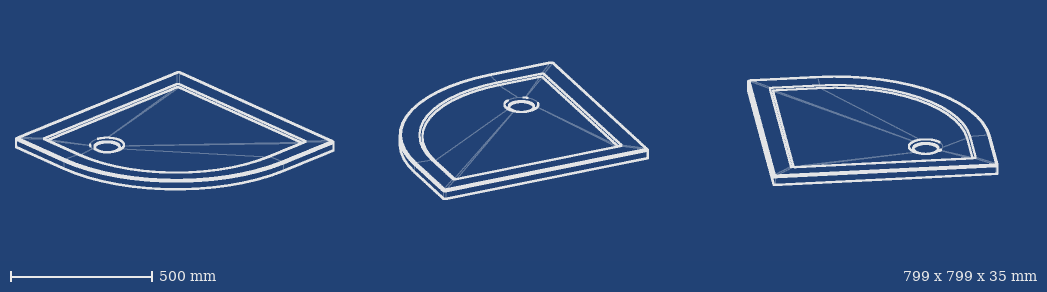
import cadquery as cq
import math

SIZE = 799.0
HEIGHT = 35.0
STRAIGHT = 249.0
CORNER_RADIUS = 6.0

EDGE_BEVEL = 5.0
RIM_WIDTH = 70.0
RIM_INNER_Z = 33.0
STEP_WIDTH = 10.0
BASIN_EDGE_INSET = RIM_WIDTH + STEP_WIDTH
BASIN_EDGE_Z = 27.0

DRAIN_CENTER = 230.0
DRAIN_TOP_RADIUS = 60.0
DRAIN_HOLE_RADIUS = 45.0
DRAIN_TOP_Z = 11.0
DRAIN_HOLE_Z = 4.0

DIAGONAL = 135.0
SIDE_CORNER_SPREAD = 96.5
ARC_END_SPREAD = 122.0
CORNER_SPREAD = 0.5

CUT_CLEARANCE = 8.0


def point_on_circle(center, radius, degrees):
    angle = math.radians(degrees)
    return center[0] + radius * math.cos(angle), center[1] + radius * math.sin(angle)


def tray_outline(inset, z):
    """Closed outline of the tray, moved inward by inset, at height z."""
    low = inset
    high = SIZE - inset
    r = CORNER_RADIUS
    large_radius = SIZE - STRAIGHT - inset
    large_center = (STRAIGHT, SIZE - STRAIGHT)
    return (
        cq.Workplane("XY", origin=(0, 0, z))
        .moveTo(low + r, high)
        .lineTo(high - r, high)
        .threePointArc(point_on_circle((high - r, high - r), r, 45), (high, high - r))
        .lineTo(high, large_center[1])
        .threePointArc(point_on_circle(large_center, large_radius, -45), (STRAIGHT, low))
        .lineTo(low + r, low)
        .threePointArc(point_on_circle((low + r, low + r), r, 225), (low, low + r))
        .lineTo(low, high - r)
        .threePointArc(point_on_circle((low + r, high - r), r, 135), (low + r, high))
        .close()
        .wire()
        .val()
    )


def drain_outline(z):
    """Drain circle, split where the floor creases meet it."""
    spreads = [
        -CORNER_SPREAD,
        -SIDE_CORNER_SPREAD + CORNER_SPREAD,
        -SIDE_CORNER_SPREAD - CORNER_SPREAD,
        -ARC_END_SPREAD,
        ARC_END_SPREAD - 360,
        SIDE_CORNER_SPREAD + CORNER_SPREAD - 360,
        SIDE_CORNER_SPREAD - CORNER_SPREAD - 360,
        CORNER_SPREAD - 360,
        -CORNER_SPREAD - 360,
    ]
    center = (DRAIN_CENTER, DRAIN_CENTER)
    angles = [DIAGONAL + spread for spread in spreads]
    circle = cq.Workplane("XY", origin=(0, 0, z))
    circle = circle.moveTo(*point_on_circle(center, DRAIN_TOP_RADIUS, angles[0]))
    for start, end in zip(angles, angles[1:]):
        circle = circle.threePointArc(
            point_on_circle(center, DRAIN_TOP_RADIUS, (start + end) / 2),
            point_on_circle(center, DRAIN_TOP_RADIUS, end),
        )
    return circle.wire().val()


def ruled_loft(lower, upper):
    return cq.Workplane(cq.Solid.makeLoft([lower, upper], True))


def rim_body():
    """Solid tray with a bevelled top edge."""
    bevel_z = HEIGHT - EDGE_BEVEL
    base = ruled_loft(tray_outline(0, 0), tray_outline(0, bevel_z))
    bevel = ruled_loft(tray_outline(0, bevel_z), tray_outline(EDGE_BEVEL, HEIGHT))
    return base.union(bevel)


def basin_cutters():
    """Sloping rim, step and floor, as one stack of ruled spaces."""
    rim = ruled_loft(tray_outline(RIM_WIDTH, RIM_INNER_Z), tray_outline(EDGE_BEVEL, HEIGHT))
    step = ruled_loft(
        tray_outline(BASIN_EDGE_INSET, BASIN_EDGE_Z), tray_outline(RIM_WIDTH, RIM_INNER_Z)
    )
    floor = ruled_loft(drain_outline(DRAIN_TOP_Z), tray_outline(BASIN_EDGE_INSET, BASIN_EDGE_Z))
    return [rim, step, floor]


def drain_cutter():
    """Conical seat above a straight through hole."""
    profile = [
        (0, -CUT_CLEARANCE),
        (DRAIN_HOLE_RADIUS, -CUT_CLEARANCE),
        (DRAIN_HOLE_RADIUS, DRAIN_HOLE_Z),
        (DRAIN_TOP_RADIUS, DRAIN_TOP_Z),
        (0, DRAIN_TOP_Z),
    ]
    return (
        cq.Workplane("XZ")
        .polyline(profile)
        .close()
        .revolve(360, (0, 0, 0), (0, 1, 0))
        .translate((DRAIN_CENTER, DRAIN_CENTER, 0))
    )


result = rim_body()
for cutter in basin_cutters():
    result = result.cut(cutter)
result = result.cut(drain_cutter())